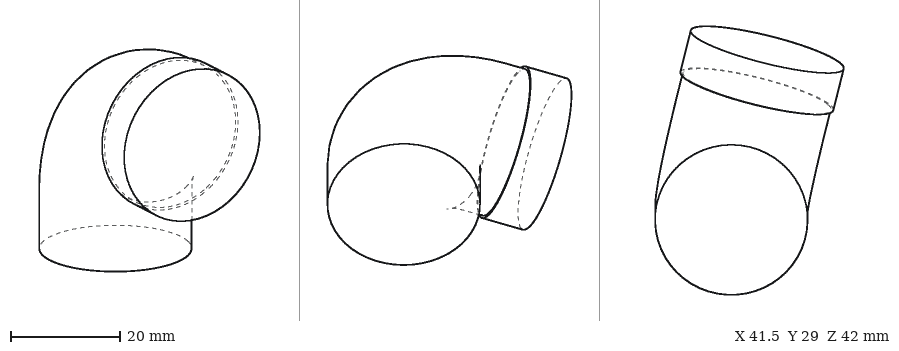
import cadquery as cq

pipe_diameter = 28.0
collar_diameter = 29.0
bend_radius = 16.0
leg_length = 11.5
collar_length = 8.0
bend_angle = 90

pipe_radius = pipe_diameter / 2
collar_radius = collar_diameter / 2
neck_length = leg_length - collar_length
outlet_height = leg_length + bend_radius


def vertical_leg():
    """Straight inlet rising from the base to the start of the bend."""
    return cq.Workplane("XY").circle(pipe_radius).extrude(leg_length)


def elbow_bend():
    """Quarter torus turning the pipe from +Z to +X."""
    return (
        cq.Workplane("XY", origin=(0, 0, leg_length))
        .circle(pipe_radius)
        .revolve(bend_angle, (bend_radius, 0, 0), (bend_radius, 1, 0))
    )


def horizontal_leg():
    """Short neck after the bend, ending in a slightly wider collar."""
    neck = (
        cq.Workplane("YZ", origin=(bend_radius, 0, outlet_height))
        .circle(pipe_radius)
        .extrude(neck_length)
    )
    return neck.faces(">X").workplane().circle(collar_radius).extrude(collar_length)


result = vertical_leg().union(elbow_bend()).union(horizontal_leg())